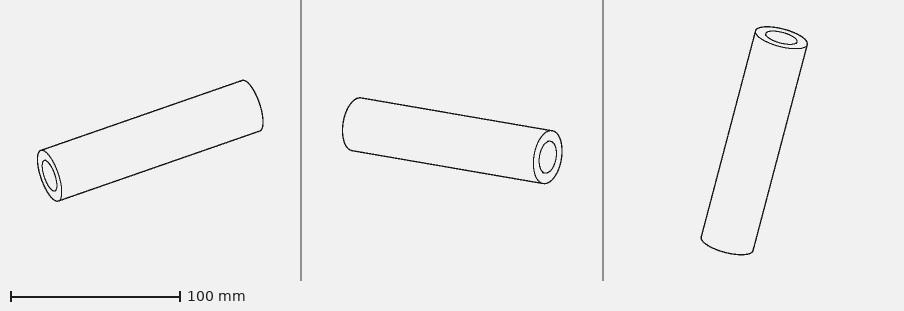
import cadquery as cq

length = 133.4
outer_diameter = 31.7
bore_diameter = 19.1

result = (
    cq.Workplane("XZ", origin=(0, length / 2, 0))
    .circle(outer_diameter / 2)
    .circle(bore_diameter / 2)
    .extrude(length)
)